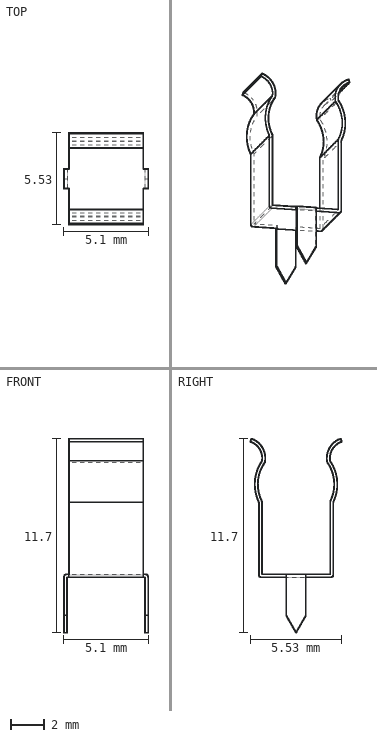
import cadquery as cq
import math

sheet = 0.2
body_length = 4.5
body_width = 4.5
floor_bend_radius = 0.15

seat_outer_radius = 2.5
seat_inner_radius = seat_outer_radius - sheet
seat_height = 5.62

lip_outer_radius = 1.25
lip_inner_radius = lip_outer_radius - sheet
lip_offset = 3.1
lip_end_angle = math.radians(71.4)
lip_end_height = 8.38
lip_height = lip_end_height - lip_outer_radius * math.sin(lip_end_angle)

tab_span = 5.1
tab_width = 1.2
tab_depth = 3.35
tab_point_length = 1.05

arm_outer = body_width / 2
arm_inner = arm_outer - sheet


def seat_start(arm_y, seat_radius):
    """Point where a straight arm face runs into the seat circle."""
    return (arm_y, seat_height - math.sqrt(seat_radius**2 - arm_y**2))


def seat_middle(seat_radius):
    """Widest point of the seat circle."""
    return (seat_radius, seat_height)


def waist(seat_radius, lip_radius):
    """Upper crossing of the seat circle and a lip circle."""
    rise = lip_height - seat_height
    distance = math.hypot(lip_offset, rise)
    along = (distance**2 + seat_radius**2 - lip_radius**2) / (2 * distance)
    across = math.sqrt(seat_radius**2 - along**2)
    y = (along * lip_offset - across * rise) / distance
    z = seat_height + (along * rise + across * lip_offset) / distance
    return (y, z)


def lip_point(lip_radius, angle):
    """Point on a lip circle, at an angle raised from the inward direction."""
    y = lip_offset - lip_radius * math.cos(angle)
    z = lip_height + lip_radius * math.sin(angle)
    return (y, z)


def make_arm():
    """Arm on the +Y side: straight wall, seat bulge and flared lip."""
    lip_middle_angle = lip_end_angle / 2
    profile = (
        cq.Workplane("YZ")
        .moveTo(arm_inner, 0)
        .lineTo(arm_outer - floor_bend_radius, 0)
        .radiusArc((arm_outer, floor_bend_radius), -floor_bend_radius)
        .lineTo(*seat_start(arm_outer, seat_outer_radius))
        .threePointArc(seat_middle(seat_outer_radius), waist(seat_outer_radius, lip_inner_radius))
        .threePointArc(
            lip_point(lip_inner_radius, lip_middle_angle),
            lip_point(lip_inner_radius, lip_end_angle),
        )
        .lineTo(*lip_point(lip_outer_radius, lip_end_angle))
        .threePointArc(
            lip_point(lip_outer_radius, lip_middle_angle),
            waist(seat_inner_radius, lip_outer_radius),
        )
        .threePointArc(seat_middle(seat_inner_radius), seat_start(arm_inner, seat_inner_radius))
        .close()
    )
    return profile.extrude(body_length / 2, both=True)


def make_floor():
    """Flat floor between the two arms."""
    return cq.Workplane("XY").box(body_length, 2 * arm_inner, sheet, centered=(True, True, False))


def make_tab():
    """Pointed tab on the +X side, bent down from the floor edge."""
    outer_x = tab_span / 2
    inner_x = outer_x - sheet
    floor_edge = body_length / 2
    half_width = tab_width / 2
    shoulder_z = tab_point_length - tab_depth
    bent_strip = (
        cq.Workplane("XZ")
        .moveTo(floor_edge, 0)
        .lineTo(floor_edge, sheet)
        .lineTo(inner_x, sheet)
        .radiusArc((outer_x, 0), sheet)
        .lineTo(outer_x, -tab_depth)
        .lineTo(inner_x, -tab_depth)
        .lineTo(inner_x, 0)
        .close()
        .extrude(half_width, both=True)
    )
    pointed_outline = (
        cq.Workplane("YZ")
        .polyline([
            (-half_width, sheet),
            (half_width, sheet),
            (half_width, shoulder_z),
            (0, -tab_depth),
            (-half_width, shoulder_z),
        ])
        .close()
        .extrude(outer_x)
    )
    return bent_strip.intersect(pointed_outline)


arm = make_arm()
tab = make_tab()
result = (
    make_floor()
    .union(arm)
    .union(arm.mirror("XZ"))
    .union(tab)
    .union(tab.mirror("YZ"))
)